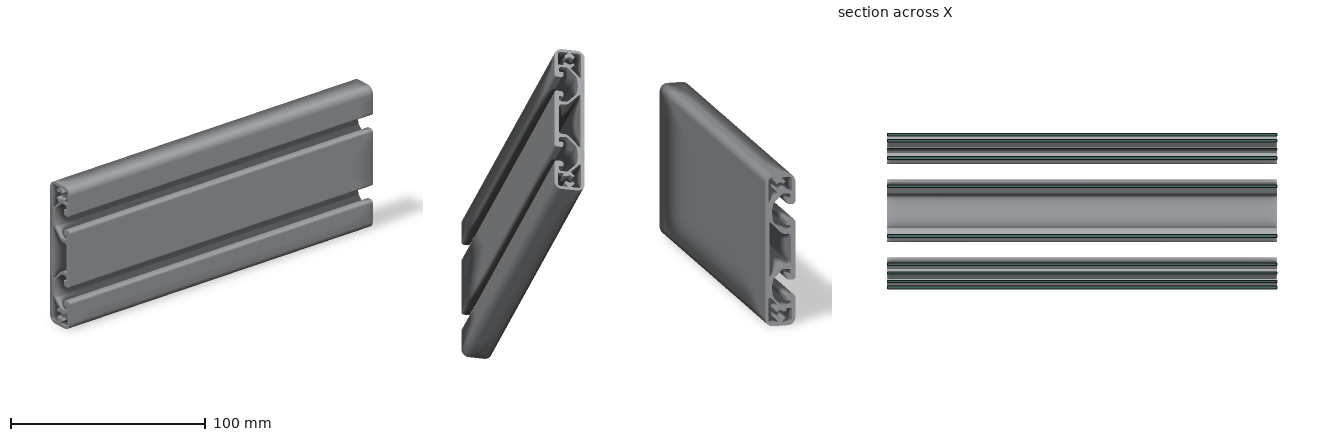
import cadquery as cq
import math

WIDTH = 16.0
LENGTH = 200.0
HEIGHT = 80.0
CORNER_RADIUS = 4.0

END_WALL = 1.5
SIDE_WALL = 1.8
MIDDLE_BACK_WALL = 2.2
MIDDLE_FRONT_WALL = 2.5
WEB_DIAGONAL_WALL = 1.2
WEB_FLAT_WALL_OUTER = 1.2
WEB_FLAT_WALL_INNER = 1.8
CAVITY_FILLET = 0.5
MIDDLE_FRONT_FILLET = 1.5
MIDDLE_BEND_FILLET = 4.0
END_CORNER_FILLET = 1.5

SLOT_Z = 20.0
SLOT_HALF_OPENING = 4.0
SLOT_HALF_HEIGHT = 9.8
SLOT_BACK_X = -4.5
SLOT_SHOULDER_X = -3.5
SLOT_SHOULDER_RISE = 5.0
LIP_X = 3.2
LIP_HEIGHT = 3.0
LIP_FILLET = 1.5
SLOT_FRONT_X = 5.5
SLOT_FRONT_FILLET = 1.5
SLOT_BEND_FILLET = 1.5

SCREW_Z = 33.8
SCREW_RADIUS = 2.0
ARM_TIP_X = 2.8
ARM_EDGE_X = 1.8
ARM_EDGE_RISE = 1.2
UPPER_TIP_RISE = 2.5
LOWER_TIP_DROP = 2.0
STEM_HALF_WIDTH = 0.8
PAD_X = 3.2
PAD_DROP = 1.5
ARM_ROUND = 0.5

HALF_WIDTH = WIDTH / 2
HALF_HEIGHT = HEIGHT / 2
SLOT_DIAGONAL_OFFSET = SLOT_SHOULDER_RISE - SLOT_SHOULDER_X
WEB_DIAGONAL_OFFSET = SLOT_DIAGONAL_OFFSET + WEB_DIAGONAL_WALL * math.sqrt(2)
END_FLOOR_RISE = SLOT_HALF_HEIGHT + WEB_FLAT_WALL_OUTER
MIDDLE_FLOOR_RISE = SLOT_HALF_HEIGHT + WEB_FLAT_WALL_INNER


def profile_plane():
    """XZ plane at the +Y end; extrusions run towards -Y."""
    return cq.Workplane("XZ", origin=(0, LENGTH / 2, 0))


def prism(points):
    return profile_plane().polyline(points).close().extrude(LENGTH)


def round_edge(body, x, z, radius):
    """Round the lengthwise edge that passes through (x, z)."""
    nearest = cq.selectors.NearestToPointSelector((x, 0, z))
    return body.edges("|Y").edges(nearest).fillet(radius)


def both_ends(body):
    """Add a copy of the body mirrored about the middle of the height."""
    return body.union(body.mirror("XY"))


def make_slot():
    z = SLOT_Z
    bend_x = SLOT_HALF_HEIGHT - SLOT_DIAGONAL_OFFSET
    lip_top = SLOT_HALF_OPENING + LIP_HEIGHT
    slot = (
        profile_plane()
        .moveTo(SLOT_SHOULDER_X, z - SLOT_SHOULDER_RISE)
        .threePointArc((SLOT_BACK_X, z), (SLOT_SHOULDER_X, z + SLOT_SHOULDER_RISE))
        .lineTo(bend_x, z + SLOT_HALF_HEIGHT)
        .lineTo(SLOT_FRONT_X, z + SLOT_HALF_HEIGHT)
        .lineTo(SLOT_FRONT_X, z + lip_top)
        .lineTo(LIP_X, z + lip_top)
        .lineTo(LIP_X, z - lip_top)
        .lineTo(SLOT_FRONT_X, z - lip_top)
        .lineTo(SLOT_FRONT_X, z - SLOT_HALF_HEIGHT)
        .lineTo(bend_x, z - SLOT_HALF_HEIGHT)
        .close()
        .extrude(LENGTH)
    )
    for side in (1, -1):
        slot = round_edge(slot, bend_x, z + side * SLOT_HALF_HEIGHT, SLOT_BEND_FILLET)
        slot = round_edge(slot, SLOT_FRONT_X, z + side * SLOT_HALF_HEIGHT, SLOT_FRONT_FILLET)
    return slot


def make_opening():
    opening_width = HALF_WIDTH - LIP_X
    return cq.Workplane("XY").box(opening_width, LENGTH, 2 * SLOT_HALF_OPENING).translate(
        (LIP_X + opening_width / 2, 0, SLOT_Z)
    )


def make_end_cavity():
    back_x = SIDE_WALL - HALF_WIDTH
    front_x = HALF_WIDTH - SIDE_WALL
    top_z = HALF_HEIGHT - END_WALL
    floor_z = SLOT_Z + END_FLOOR_RISE
    wedge_x = SLOT_SHOULDER_RISE - WEB_DIAGONAL_OFFSET
    cavity = prism([
        (back_x, SLOT_Z + SLOT_SHOULDER_RISE),
        (wedge_x, SLOT_Z + SLOT_SHOULDER_RISE),
        (END_FLOOR_RISE - WEB_DIAGONAL_OFFSET, floor_z),
        (front_x, floor_z),
        (front_x, top_z),
        (back_x, top_z),
    ])
    cavity = round_edge(cavity, back_x, top_z, END_CORNER_FILLET)
    cavity = round_edge(cavity, front_x, top_z, END_CORNER_FILLET)
    return round_edge(cavity, back_x, SLOT_Z + SLOT_SHOULDER_RISE, CAVITY_FILLET)


def make_middle_cavity():
    back_x = MIDDLE_BACK_WALL - HALF_WIDTH
    front_x = HALF_WIDTH - MIDDLE_FRONT_WALL
    bend_x = MIDDLE_FLOOR_RISE - WEB_DIAGONAL_OFFSET
    wedge_x = SLOT_SHOULDER_RISE - WEB_DIAGONAL_OFFSET
    wedge_z = SLOT_Z - SLOT_SHOULDER_RISE
    top_z = SLOT_Z - MIDDLE_FLOOR_RISE
    cavity = prism([
        (back_x, wedge_z),
        (wedge_x, wedge_z),
        (bend_x, top_z),
        (front_x, top_z),
        (front_x, -top_z),
        (bend_x, -top_z),
        (wedge_x, -wedge_z),
        (back_x, -wedge_z),
    ])
    for side in (1, -1):
        cavity = round_edge(cavity, front_x, side * top_z, MIDDLE_FRONT_FILLET)
        cavity = round_edge(cavity, bend_x, side * top_z, MIDDLE_BEND_FILLET)
    return cavity


def make_screw_bosses():
    stem_top = HALF_HEIGHT - END_WALL / 2
    arm_tip_z = SCREW_Z + UPPER_TIP_RISE
    stem_z = arm_tip_z + ARM_TIP_X - STEM_HALF_WIDTH
    arm_edge_z = SCREW_Z + ARM_EDGE_RISE
    upper = prism([
        (-STEM_HALF_WIDTH, stem_top),
        (-STEM_HALF_WIDTH, stem_z),
        (-ARM_TIP_X, arm_tip_z),
        (-ARM_EDGE_X, arm_edge_z),
        (ARM_EDGE_X, arm_edge_z),
        (ARM_TIP_X, arm_tip_z),
        (STEM_HALF_WIDTH, stem_z),
        (STEM_HALF_WIDTH, stem_top),
    ])
    for side in (1, -1):
        upper = round_edge(upper, side * ARM_TIP_X, arm_tip_z, ARM_ROUND)

    low_edge_z = SCREW_Z - ARM_EDGE_RISE
    low_tip_z = SCREW_Z - LOWER_TIP_DROP
    pad_z = SCREW_Z - PAD_DROP
    neck_z = low_tip_z - ARM_TIP_X + STEM_HALF_WIDTH
    web_z = SLOT_Z + SLOT_HALF_HEIGHT + WEB_FLAT_WALL_OUTER / 2
    lower = prism([
        (-ARM_EDGE_X, low_edge_z),
        (-ARM_TIP_X, low_tip_z),
        (-STEM_HALF_WIDTH, neck_z),
        (STEM_HALF_WIDTH, web_z),
        (PAD_X, web_z),
        (PAD_X, pad_z),
        (ARM_TIP_X, pad_z),
        (ARM_EDGE_X, low_edge_z),
    ])
    lower = round_edge(lower, -ARM_TIP_X, low_tip_z, ARM_ROUND)
    channel = profile_plane().center(0, SCREW_Z).circle(SCREW_RADIUS).extrude(LENGTH)
    return upper.union(lower).cut(channel)


result = cq.Workplane("XY").box(WIDTH, LENGTH, HEIGHT).edges("|Y").fillet(CORNER_RADIUS)
result = result.cut(both_ends(make_end_cavity()))
result = result.union(both_ends(make_screw_bosses()))
result = result.cut(make_middle_cavity())
result = result.cut(both_ends(make_slot().union(make_opening())))

for slot_z in (SLOT_Z, -SLOT_Z):
    for lip_z in (slot_z - SLOT_HALF_OPENING, slot_z + SLOT_HALF_OPENING):
        result = round_edge(result, LIP_X, lip_z, LIP_FILLET)
        result = round_edge(result, HALF_WIDTH, lip_z, LIP_FILLET)